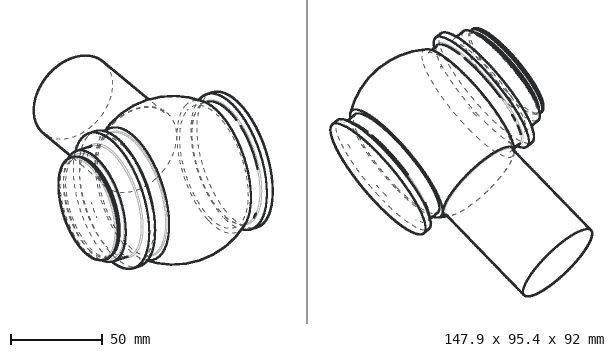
import cadquery as cq
import math

ball_radius = 46.0
ball_half_width = 26.3
ball_rim_radius = math.sqrt(ball_radius**2 - ball_half_width**2)

overall_length = 147.9
pipe_radius = 50.9 / 2
pipe_end = overall_length - ball_radius
pipe_root_fillet = 0.6
pipe_seat_radius = 26.2
pipe_seat = math.sqrt(ball_radius**2 - pipe_seat_radius**2)

neck_radius = 70.0 / 2
front_neck_root_fillet = 0.6
flange_radius = 77.5 / 2
flange_face = 39.8
flange_thickness = 3.8
flange_back = flange_face - flange_thickness
flare_length = 1.5
flare_start = flange_back - flare_length
flare_fillet = 0.9

overall_width = 95.4
spigot_radius = 63.5 / 2
spigot_shoulder = 50.5
spigot_end = overall_width - flange_face
spigot_root_fillet = 0.7

groove_radius = 57.2 / 2
groove_fillet = 1.5
groove_floor_end = 52.5
bead_radius = 58.7 / 2
bead_width = 1.5
bead_round = 0.6
bead_start = spigot_end - bead_width


def fillet_ring(solid, y, radius):
    """Round the sharp circular edge centred on the Y axis at the given y."""
    tolerance = 0.07
    low = (-tolerance, y - tolerance, -tolerance)
    high = (tolerance, y + tolerance, tolerance)
    ring = cq.selectors.BoxSelector(low, high)
    return solid.edges("%CIRCLE").edges(ring).fillet(radius)


def make_trunk():
    """Ball, both flanged necks and the spigot, turned about the Y axis."""
    trunk = (
        cq.Workplane("XY")
        .moveTo(0, -spigot_end)
        .lineTo(bead_radius - bead_round, -spigot_end)
        .radiusArc((bead_radius, -spigot_end + bead_round), -bead_round)
        .lineTo(bead_radius, -bead_start)
        .lineTo(groove_radius, -groove_floor_end)
        .lineTo(groove_radius, -spigot_shoulder - groove_fillet)
        .radiusArc((groove_radius + groove_fillet, -spigot_shoulder), groove_fillet)
        .lineTo(spigot_radius, -spigot_shoulder)
        .lineTo(spigot_radius, -flange_face - spigot_root_fillet)
        .radiusArc((spigot_radius + spigot_root_fillet, -flange_face), spigot_root_fillet)
        .lineTo(flange_radius, -flange_face)
        .lineTo(flange_radius, -flange_back)
        .lineTo(neck_radius, -flare_start)
        .lineTo(neck_radius, -ball_half_width - front_neck_root_fillet)
        .radiusArc((neck_radius + front_neck_root_fillet, -ball_half_width), front_neck_root_fillet)
        .lineTo(ball_rim_radius, -ball_half_width)
        .threePointArc((ball_radius, 0), (ball_rim_radius, ball_half_width))
        .lineTo(neck_radius, ball_half_width)
        .lineTo(neck_radius, flare_start)
        .lineTo(flange_radius, flange_back)
        .lineTo(flange_radius, flange_face)
        .lineTo(0, flange_face)
        .close()
        .revolve(360, (0, 0, 0), (0, 1, 0))
    )
    trunk = fillet_ring(trunk, flare_start, flare_fillet)
    return fillet_ring(trunk, -flare_start, flare_fillet)


def make_seat_cut():
    """Block that trims the ball to a flat where the pipe joins it."""
    depth = ball_radius - pipe_seat
    seat = cq.Workplane("XY").box(depth, 2 * ball_half_width, 2 * ball_half_width)
    return seat.translate((-pipe_seat - depth / 2, 0, 0))


def make_pipe():
    """Solid pipe along -X, flared by a small fillet onto its seat."""
    profile = (
        cq.Workplane("XY")
        .moveTo(-pipe_end, 0)
        .lineTo(-pipe_end, pipe_radius)
        .lineTo(-pipe_seat - pipe_root_fillet, pipe_radius)
        .radiusArc((-pipe_seat, pipe_radius + pipe_root_fillet), -pipe_root_fillet)
        .lineTo(-pipe_seat, 0)
        .close()
    )
    return profile.revolve(360, (0, 0, 0), (1, 0, 0))


result = make_trunk().cut(make_seat_cut()).union(make_pipe())